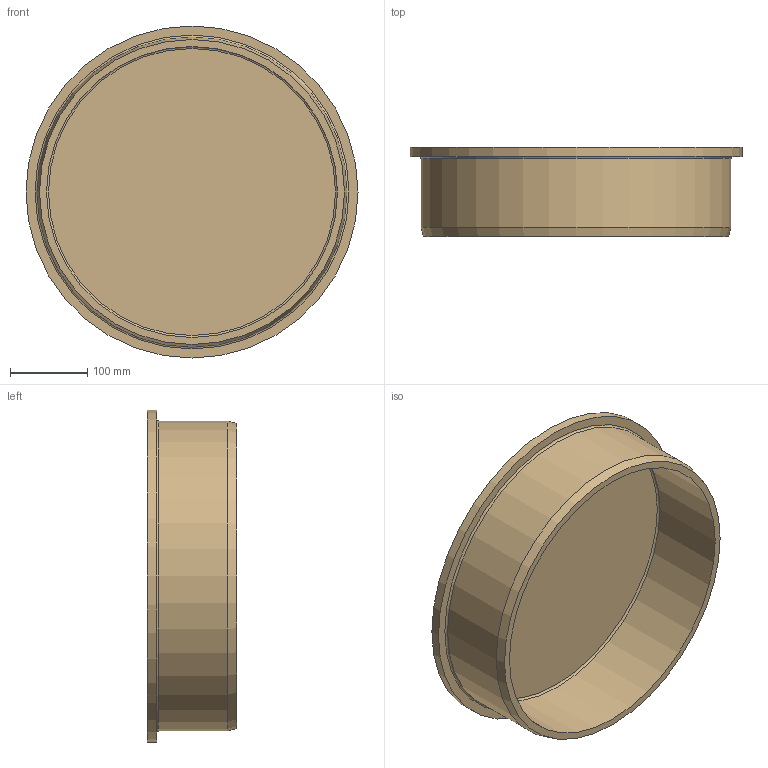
import cadquery as cq
import math

flange_diameter = 429.0
wall_diameter = 400.5
bore_diameter = 375.9
total_length = 115.3

flange_thickness = 12.0
floor_thickness = 12.0
flange_root_fillet = 2.5
floor_fillet = 2.5
lead_in_length = 12.0
lead_in_angle = 15.0

flange_radius = flange_diameter / 2
wall_radius = wall_diameter / 2
bore_radius = bore_diameter / 2
lead_in_depth = lead_in_length * math.tan(math.radians(lead_in_angle))
rim_radius = wall_radius - lead_in_depth

flange_front = total_length - flange_thickness
floor_front = total_length - floor_thickness
arc_middle = 1 - math.sqrt(0.5)


def cap_profile():
    """Half section in the XY plane: X is the radius, Y runs along the axis."""
    return (
        cq.Workplane("XY")
        .moveTo(0, total_length)
        .lineTo(flange_radius, total_length)
        .lineTo(flange_radius, flange_front)
        .lineTo(wall_radius + flange_root_fillet, flange_front)
        .threePointArc(
            (
                wall_radius + flange_root_fillet * arc_middle,
                flange_front - flange_root_fillet * arc_middle,
            ),
            (wall_radius, flange_front - flange_root_fillet),
        )
        .lineTo(wall_radius, lead_in_length)
        .lineTo(rim_radius, 0)
        .lineTo(bore_radius, 0)
        .lineTo(bore_radius, floor_front - floor_fillet)
        .threePointArc(
            (
                bore_radius - floor_fillet * arc_middle,
                floor_front - floor_fillet * arc_middle,
            ),
            (bore_radius - floor_fillet, floor_front),
        )
        .lineTo(0, floor_front)
        .close()
    )


result = cap_profile().revolve(360, (0, 0, 0), (0, 1, 0))